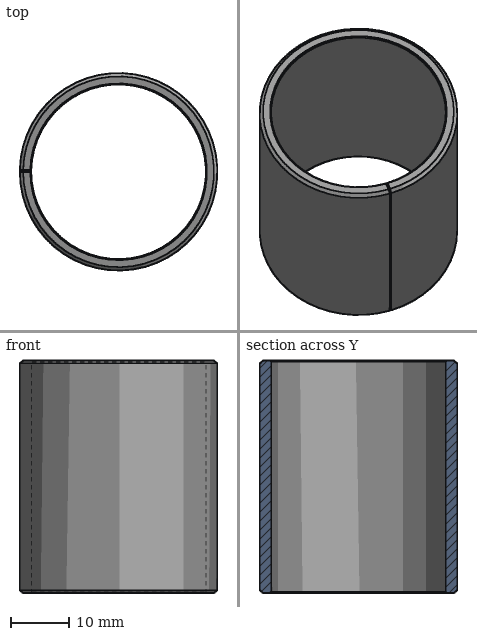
import cadquery as cq

length = 40.0
outer_diameter = 34.0
wall = 2.0
outer_chamfer_width = 0.6
outer_chamfer_height = 0.5
inner_chamfer = 0.2
slit_angle = 1.0

outer_radius = outer_diameter / 2
inner_radius = outer_radius - wall
half_length = length / 2


def wall_ring():
    """Revolve the chamfered wall section about Z, leaving the slit open just below +X."""
    section = (
        cq.Workplane("XZ")
        .moveTo(inner_radius, half_length - inner_chamfer)
        .lineTo(inner_radius + inner_chamfer, half_length)
        .lineTo(outer_radius - outer_chamfer_width, half_length)
        .lineTo(outer_radius, half_length - outer_chamfer_height)
        .lineTo(outer_radius, outer_chamfer_height - half_length)
        .lineTo(outer_radius - outer_chamfer_width, -half_length)
        .lineTo(inner_radius + inner_chamfer, -half_length)
        .lineTo(inner_radius, inner_chamfer - half_length)
        .close()
    )
    return section.revolve(360 - slit_angle, (0, 0, 0), (0, 1, 0))


result = wall_ring().rotate((0, 0, 0), (0, 0, 1), 180)